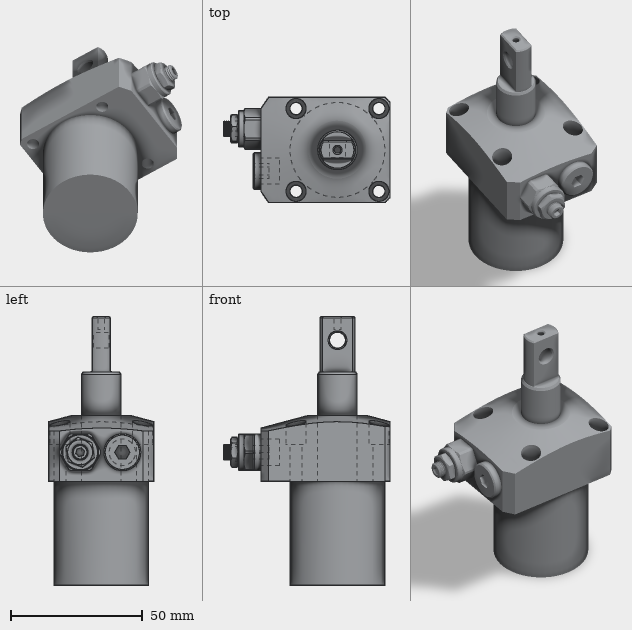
import cadquery as cq
import math


block_left = -29.0
block_right = 20.0
block_width = 40.0
block_height = 25.0
left_corner_x = 2.9
left_corner_y = 4.2
right_corner = 2.0
flat_top_radius = 11.0
cone_angle = 15.0
bolt_offset = 15.7
bolt_hole_dia = 4.6
counterbore_dia = 7.6
counterbore_floor_z = 14.0

tube_dia = 36.0
tube_length = 39.5

rod_dia = 15.0
rod_top_z = 62.5
shoulder_z = 41.5
shoulder_chamfer_height = 1.0
shoulder_chamfer_width = 0.6
blade_dia = 13.4
blade_thickness = 7.0
blade_base_fillet = 0.5
blade_top_chamfer = 0.5
pin_hole_dia = 6.0
pin_hole_z = rod_top_z - 9.0
pin_hole_chamfer = 0.55
tap_hole_dia = 2.5
tap_hole_depth = 5.0
tap_hole_chamfer = 0.5
countersink_angle = 90.0

port_z = 11.0
port_offset_y = 8.0

plug_dia = 14.0
plug_length = 3.0
plug_shank_dia = 10.0
plug_shank_length = 7.0
plug_chamfer = 0.5
plug_socket_flats = 5.0
plug_socket_depth = 6.0

body_flats = 14.0
body_corner_dia = 15.6
body_length = 6.5
body_end_dia = 14.0

collar_dia = 13.8
collar_length = 2.1
collar_chamfer = 0.3

nut_flats = 10.0
nut_length = 3.0
nut_end_dia = 9.5
nut_turn = 38.5

screw_dia = 6.0
screw_reach = 2.7
screw_chamfer = 0.45
screw_socket_flats = 3.0
screw_socket_depth = 3.0
screw_socket_turn = 15.0
thread_pitch = 0.75
thread_depth = 0.4
thread_crest = 0.1

body_face_x = block_left - body_length
collar_face_x = body_face_x - collar_length
nut_face_x = collar_face_x - nut_length
screw_face_x = nut_face_x - screw_reach

hex_chamfer_angle = 30.0


def side_plane(x, y):
    """Plane at the given X whose normal points outward along -X; local x runs along -Y."""
    return cq.Workplane(cq.Plane(origin=(x, y, port_z), xDir=(0, -1, 0), normal=(-1, 0, 0)))


def across_corners(flats):
    """Corner-to-corner size of a hexagon from its size across flats."""
    return flats / math.cos(math.pi / 6)


def hex_prism(plane, flats, length, turn=0.0):
    """Hexagonal bar grown from the plane, turned in degrees about the plane normal."""
    base = plane.plane.origin
    prism = plane.polygon(6, across_corners(flats)).extrude(length)
    return prism.rotate(base, base + plane.plane.zDir, turn)


def valve_profile_plane(x):
    """Plane through the valve axis: local x is the radius, local y runs outward along -X."""
    return cq.Workplane(cq.Plane(origin=(x, port_offset_y, port_z), xDir=(0, 1, 0), normal=(0, 0, 1)))


def corner_chamfer_cone(end_x, inward, end_radius, length):
    """Cone frustum that starts at end_x and widens inward; inward is 1 along +X, -1 along -X."""
    wide_radius = end_radius + length / math.tan(math.radians(hex_chamfer_angle))
    inner_y = -inward * length
    outline = [(0, 0), (end_radius, 0), (wide_radius, inner_y), (0, inner_y)]
    return valve_profile_plane(end_x).polyline(outline).close().revolve(360, (0, 0), (0, 1))


def make_block():
    half = block_width / 2
    outline = [
        (block_left, half - left_corner_y),
        (block_left + left_corner_x, half),
        (block_right - right_corner, half),
        (block_right, half - right_corner),
        (block_right, right_corner - half),
        (block_right - right_corner, -half),
        (block_left + left_corner_x, -half),
        (block_left, left_corner_y - half),
    ]
    block = cq.Workplane("XY").polyline(outline).close().extrude(block_height)

    cone_radius = math.hypot(block_left, half)
    cone_drop = (cone_radius - flat_top_radius) * math.tan(math.radians(cone_angle))
    cone_outline = [
        (0, 0),
        (cone_radius, 0),
        (cone_radius, block_height - cone_drop),
        (flat_top_radius, block_height),
        (0, block_height),
    ]
    envelope = cq.Workplane("XZ").polyline(cone_outline).close().revolve(360, (0, 0), (0, 1))
    block = block.intersect(envelope)

    bolt_points = [(x, y) for x in (-bolt_offset, bolt_offset) for y in (-bolt_offset, bolt_offset)]
    bolt_holes = cq.Workplane("XY").pushPoints(bolt_points).circle(bolt_hole_dia / 2).extrude(block_height)
    counterbores = (
        cq.Workplane("XY", origin=(0, 0, counterbore_floor_z))
        .pushPoints(bolt_points)
        .circle(counterbore_dia / 2)
        .extrude(block_height - counterbore_floor_z)
    )
    rod_bore = cq.Workplane("XY").circle(rod_dia / 2).extrude(block_height)
    block = block.cut(bolt_holes).cut(counterbores).cut(rod_bore)
    return block.cut(make_plug_shank())


def make_tube():
    return cq.Workplane("XY").circle(tube_dia / 2).extrude(-tube_length)


def make_rod():
    shank_outline = [
        (0, 0),
        (rod_dia / 2, 0),
        (rod_dia / 2, shoulder_z - shoulder_chamfer_height),
        (rod_dia / 2 - shoulder_chamfer_width, shoulder_z),
        (0, shoulder_z),
    ]
    shank = cq.Workplane("XZ").polyline(shank_outline).close().revolve(360, (0, 0), (0, 1))

    blade_length = rod_top_z - shoulder_z
    blade_start = cq.Workplane("XY", origin=(0, 0, shoulder_z))
    blade = blade_start.circle(blade_dia / 2).extrude(blade_length)
    flats = blade_start.rect(blade_dia, blade_thickness).extrude(blade_length)
    blade = blade.intersect(flats)
    blade = blade.faces(">Z").edges().chamfer(blade_top_chamfer)

    flare_start = blade_thickness / 2
    flare_end = flare_start + blade_base_fillet
    arc_shift = blade_base_fillet * (1 - math.sqrt(0.5))
    flare = (
        cq.Workplane("YZ", origin=(-blade_dia / 2, 0, shoulder_z))
        .moveTo(0, 0)
        .lineTo(flare_end, 0)
        .threePointArc((flare_start + arc_shift, arc_shift), (flare_start, blade_base_fillet))
        .lineTo(0, blade_base_fillet)
        .close()
        .extrude(blade_dia)
    )
    flare = flare.union(flare.mirror("XZ"))
    flare = flare.intersect(blade_start.circle(blade_dia / 2).extrude(blade_length))
    rod = shank.union(blade).union(flare)

    pin_hole = (
        cq.Workplane("XZ", origin=(0, 0, pin_hole_z))
        .circle(pin_hole_dia / 2)
        .extrude(blade_thickness / 2, both=True)
    )
    rod = rod.cut(pin_hole)
    pin_hole_rims = cq.selectors.BoxSelector(
        (-pin_hole_dia, -blade_thickness, pin_hole_z - pin_hole_dia),
        (pin_hole_dia, blade_thickness, pin_hole_z + pin_hole_dia),
    )
    rod = rod.edges("%CIRCLE").edges(pin_hole_rims).chamfer(pin_hole_chamfer)

    return rod.faces(">Z").workplane(origin=(0, 0, rod_top_z)).cskHole(
        tap_hole_dia, tap_hole_dia + 2 * tap_hole_chamfer, countersink_angle, tap_hole_depth
    )


def make_plug_shank():
    """Part of the plug that fills the port hole in the block."""
    return side_plane(block_left, -port_offset_y).circle(plug_shank_dia / 2).extrude(-plug_shank_length)


def make_plug():
    plug = side_plane(block_left, -port_offset_y).circle(plug_dia / 2).extrude(plug_length)
    plug = plug.faces("<X").edges().chamfer(plug_chamfer)
    plug = plug.union(make_plug_shank())
    socket_floor = side_plane(block_left - plug_length + plug_socket_depth, -port_offset_y)
    return plug.cut(hex_prism(socket_floor, plug_socket_flats, plug_socket_depth))


def make_valve_body():
    body_start = side_plane(block_left, port_offset_y)
    body = hex_prism(body_start, body_flats, body_length)
    body = body.intersect(body_start.circle(body_corner_dia / 2).extrude(body_length))
    return body.intersect(corner_chamfer_cone(body_face_x, 1, body_end_dia / 2, body_length))


def make_collar():
    collar = side_plane(body_face_x, port_offset_y).circle(collar_dia / 2).extrude(collar_length)
    collar = collar.faces("<X").edges().chamfer(collar_chamfer)
    screw_bore = side_plane(body_face_x, port_offset_y).circle(screw_dia / 2).extrude(collar_length)
    return collar.cut(screw_bore)


def make_lock_nut():
    nut_start = side_plane(collar_face_x, port_offset_y)
    nut = hex_prism(nut_start, nut_flats, nut_length, nut_turn)
    nut = nut.intersect(corner_chamfer_cone(nut_face_x, 1, nut_end_dia / 2, nut_length))
    nut = nut.intersect(corner_chamfer_cone(collar_face_x, -1, nut_end_dia / 2, nut_length))
    return nut.cut(nut_start.circle(screw_dia / 2).extrude(nut_length))


def make_screw():
    length = body_face_x - screw_face_x
    screw = side_plane(body_face_x, port_offset_y).circle(screw_dia / 2).extrude(length)
    screw = screw.faces("<X").edges().chamfer(screw_chamfer)

    radius = screw_dia / 2
    half_groove = (thread_pitch - thread_crest) / 2
    for turn in range(int(screw_reach / thread_pitch)):
        middle = (turn + 0.5) * thread_pitch
        groove = (
            valve_profile_plane(nut_face_x)
            .polyline([
                (radius, middle - half_groove),
                (radius - thread_depth, middle),
                (radius, middle + half_groove),
            ])
            .close()
            .revolve(360, (0, 0), (0, 1))
        )
        screw = screw.cut(groove)

    socket_floor = side_plane(screw_face_x + screw_socket_depth, port_offset_y)
    return screw.cut(hex_prism(socket_floor, screw_socket_flats, screw_socket_depth, screw_socket_turn))


block = make_block()
tube = make_tube()
rod = make_rod()
plug = make_plug()
valve_body = make_valve_body()
collar = make_collar()
lock_nut = make_lock_nut()
screw = make_screw()

result = cq.Compound.makeCompound([
    block.val(),
    tube.val(),
    rod.val(),
    plug.val(),
    valve_body.val(),
    collar.val(),
    lock_nut.val(),
    screw.val(),
])